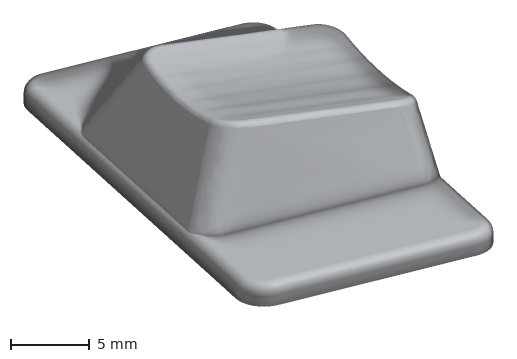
import cadquery as cq
import math

plate_length = 32.45
plate_width = 18.16
plate_height = 1.5
plate_corner_radius = 2.0
plate_edge_radius = 0.75

key_base_width = 18.36
key_base_length = plate_width
key_base_z = plate_height - plate_edge_radius
key_top_width = 11.8
key_front_y = -5.5
key_back_y = 8.7
key_tilt = 6.7
key_top_center_z = 6.91
key_corner_radius = 1.75
key_edge_radius = 0.5

dish_radius = 25.0
dish_depth = 0.75
dish_length = 2 * plate_width

key_top_center_y = (key_front_y + key_back_y) / 2
key_top_length = (key_back_y - key_front_y) / math.cos(math.radians(key_tilt))


def make_plate():
    """Rounded rectangular plate with its upper edge filleted."""
    plate = cq.Workplane("XY").box(plate_length, plate_width, plate_height, centered=(True, True, False))
    plate = plate.edges("|Z").fillet(plate_corner_radius)
    return plate.faces(">Z").edges().fillet(plate_edge_radius)


def rounded_rectangle(length_x, length_y):
    """Rectangle with rounded corners, centred on the origin."""
    return cq.Sketch().rect(length_x, length_y).vertices().fillet(key_corner_radius)


def top_location():
    """Centre of the key top, tilted about X so that the back is lower."""
    center = cq.Vector(0, key_top_center_y, key_top_center_z)
    return cq.Location(center, cq.Vector(1, 0, 0), -key_tilt)


def make_dish():
    """Cylinder that cuts dish_depth below the middle of the key top."""
    axis_height = dish_radius - dish_depth
    dish = cq.Solid.makeCylinder(
        dish_radius,
        dish_length,
        cq.Vector(0, -dish_length / 2, axis_height),
        cq.Vector(0, 1, 0),
    )
    return dish.moved(top_location())


def make_key():
    """Tapered key with a dished top and a filleted rim."""
    base = rounded_rectangle(key_base_width, key_base_length).moved(cq.Location(cq.Vector(0, 0, key_base_z)))
    top = rounded_rectangle(key_top_width, key_top_length).moved(top_location())
    key = cq.Workplane("XY").placeSketch(base, top).loft(ruled=True)
    key = key.cut(cq.Workplane(obj=make_dish()))
    return key.faces(">Z").edges().fillet(key_edge_radius)


result = make_plate().union(make_key())